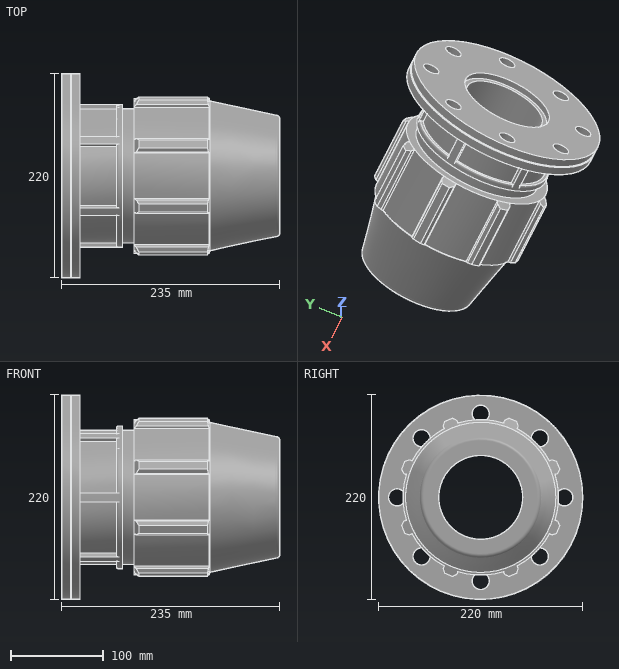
import cadquery as cq
import math

length = 235.0
bore_dia = 90.0

flange_dia = 220.0
flange_thickness = 20.0
groove_width = 1.0
groove_depth = 0.7
seat_dia = 100.0
seat_depth = 7.0
bolt_circle_dia = 180.0
bolt_hole_dia = 18.0
bolt_count = 8

spigot_dia = 144.8
collar_dia = 154.0
collar_start = 59.0
collar_crown = 61.5
collar_end = 65.5
collar_edge_drop = 1.2
web_width = 9.6
web_count = 6

nut_dia = 167.3
nut_start = 77.8
nut_end = 159.5
rib_outer_radius = 90.2
rib_width = 16.0
rib_top_width = 9.2
rib_shoulder_radius = 86.2
rib_count = 8
rib_front_bevel = 5.5
rib_rear_bevel = 2.5

sleeve_start_dia = 161.7
sleeve_end_dia = 131.1
tip_rounding = 4.5


def cylinder(diameter, start, end):
    """Solid cylinder about the pipe axis between two X positions."""
    return cq.Workplane("YZ").workplane(offset=start).circle(diameter / 2).extrude(end - start)


def make_flange():
    """Flange disc with the groove around its rim."""
    middle = flange_thickness / 2
    flange = cylinder(flange_dia, 0, flange_thickness)
    groove_start = middle - groove_width / 2
    groove_end = middle + groove_width / 2
    groove = cylinder(flange_dia, groove_start, groove_end)
    groove = groove.cut(cylinder(flange_dia - 2 * groove_depth, groove_start, groove_end))
    return flange.cut(groove)


def make_collar():
    """Collar whose edge towards the flange is eased by an arc tangent to its rim."""
    radius = collar_dia / 2
    profile = (
        cq.Workplane("XY")
        .moveTo(collar_start, 0)
        .lineTo(collar_end, 0)
        .lineTo(collar_end, radius)
        .lineTo(collar_crown, radius)
        .tangentArcPoint((collar_start, radius - collar_edge_drop), relative=False)
        .close()
    )
    return profile.revolve(360, (0, 0, 0), (1, 0, 0))


def make_webs():
    """Parallel-sided webs between flange and collar, rounded to the collar diameter."""
    webs = cq.Workplane("YZ").workplane(offset=flange_thickness)
    webs = webs.polarArray(collar_dia / 4, 0, 360, web_count).rect(collar_dia / 2, web_width)
    webs = webs.extrude(collar_crown - flange_thickness)
    return webs.intersect(cylinder(collar_dia, flange_thickness, collar_crown))


def make_rib(angle):
    """One grip rib with chamfered long edges, turned about the pipe axis."""
    half_base = rib_width / 2
    half_top = rib_top_width / 2
    section = [
        (-half_base, 0),
        (half_base, 0),
        (half_base, rib_shoulder_radius),
        (half_top, rib_outer_radius),
        (-half_top, rib_outer_radius),
        (-half_base, rib_shoulder_radius),
    ]
    rib = cq.Workplane("YZ").workplane(offset=nut_start).polyline(section).close()
    return rib.extrude(nut_end - nut_start).rotate((0, 0, 0), (1, 0, 0), angle)


def make_nut():
    """Ribbed nut trimmed by a conical bevel at each end."""
    nut = cylinder(nut_dia, nut_start, nut_end)
    pitch = 360 / rib_count
    for index in range(rib_count):
        nut = nut.union(make_rib((index + 0.5) * pitch))
    crest_radius = math.hypot(rib_outer_radius, rib_top_width / 2)
    envelope = cq.Workplane("XY").polyline([
        (nut_start, 0),
        (nut_start, nut_dia / 2),
        (nut_start + rib_front_bevel, crest_radius),
        (nut_end - rib_rear_bevel, crest_radius),
        (nut_end, sleeve_start_dia / 2),
        (nut_end, 0),
    ]).close()
    return nut.intersect(envelope.revolve(360, (0, 0, 0), (1, 0, 0)))


def make_sleeve():
    """Sleeve tapering from the nut to a rounded tip."""
    tip_start = length - tip_rounding
    tip_radius = sleeve_end_dia / 2
    arc_mid = (
        tip_start + tip_rounding * math.sin(math.pi / 4),
        tip_radius - tip_rounding * (1 - math.cos(math.pi / 4)),
    )
    profile = (
        cq.Workplane("XY")
        .moveTo(nut_end, 0)
        .lineTo(nut_end, sleeve_start_dia / 2)
        .lineTo(tip_start, tip_radius)
        .threePointArc(arc_mid, (length, tip_radius - tip_rounding))
        .lineTo(length, 0)
        .close()
    )
    return profile.revolve(360, (0, 0, 0), (1, 0, 0))


def make_bolt_holes():
    """Ring of through holes in the flange."""
    holes = cq.Workplane("YZ").polarArray(bolt_circle_dia / 2, 0, 360, bolt_count)
    return holes.circle(bolt_hole_dia / 2).extrude(flange_thickness)


body = make_flange()
body = body.union(cylinder(spigot_dia, flange_thickness, nut_start))
body = body.union(make_collar())
body = body.union(make_webs())
body = body.union(make_nut())
body = body.union(make_sleeve())

body = body.cut(make_bolt_holes())
body = body.cut(cylinder(seat_dia, 0, seat_depth))
result = body.cut(cylinder(bore_dia, 0, length))